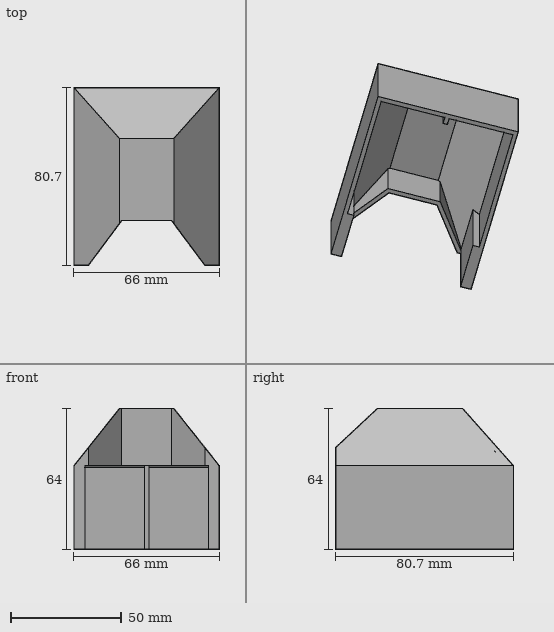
import math

import cadquery as cq

width = 66.0
depth = 80.69
height = 64.0
half_width = width / 2

eaves_height = 38.0
roof_half_width = 12.35
roof_back_y = 57.6
wall = 2.0

notch_front_half_width = 26.4
notch_back_half_width = 11.3
notch_depth = 20.3

jamb_thickness = 5.0
jamb_depth = 21.2

rib_width = 2.0
rib_depth = 3.0

roof_rise = height - eaves_height
side_run = half_width - roof_half_width
back_run = depth - roof_back_y
overshoot = 10.0


def eaves_drop(inset, run):
    """Drop of the eaves line when a wall and the slope above it both move in by the inset."""
    return inset * math.tan(math.atan2(run, roof_rise) / 2)


def hood(inset, front_y):
    """Hipped solid whose walls, slopes and top lie the given inset inside the outer surface."""
    side_x = half_width - inset
    back_y = depth - inset
    top_z = height - inset
    side_eaves = eaves_height - eaves_drop(inset, side_run)
    back_eaves = eaves_height - eaves_drop(inset, back_run)
    top_half_width = side_x - (top_z - side_eaves) * side_run / roof_rise
    top_back_y = back_y - (top_z - back_eaves) * back_run / roof_rise
    cross_section = (
        cq.Workplane("XZ", origin=(0, front_y, 0))
        .polyline([
            (-side_x, 0),
            (side_x, 0),
            (side_x, side_eaves),
            (top_half_width, top_z),
            (-top_half_width, top_z),
            (-side_x, side_eaves),
        ])
        .close()
        .extrude(front_y - back_y)
    )
    side_profile = (
        cq.Workplane("YZ")
        .polyline([
            (front_y, 0),
            (back_y, 0),
            (back_y, back_eaves),
            (top_back_y, top_z),
            (front_y, top_z),
        ])
        .close()
        .extrude(half_width, both=True)
    )
    return cross_section.intersect(side_profile)


def notch(offset):
    """Upright trapezoidal prism above the eaves, its back and sides moved out by the offset."""
    taper = (notch_front_half_width - notch_back_half_width) / notch_depth
    side_shift = offset * math.hypot(1, taper)
    back_y = notch_depth + offset
    front_half = notch_front_half_width + side_shift + taper * overshoot
    back_half = notch_front_half_width + side_shift - taper * back_y
    return (
        cq.Workplane("XY", origin=(0, 0, eaves_height))
        .polyline([
            (-front_half, -overshoot),
            (front_half, -overshoot),
            (back_half, back_y),
            (-back_half, back_y),
        ])
        .close()
        .extrude(roof_rise + overshoot)
    )


def jambs(envelope):
    """Pads that thicken both side walls at the front, up to the underside of the slopes."""
    inner_half_width = half_width - jamb_thickness
    front_block = cq.Workplane("XY").box(width, jamb_depth, height, centered=(True, False, False))
    passage = cq.Workplane("XY").box(
        2 * inner_half_width, jamb_depth, height, centered=(True, False, False)
    )
    return front_block.cut(passage).intersect(envelope)


def back_rib(envelope):
    """Rib standing on the inside of the back wall, up to the underside of the slope."""
    rib_front_y = depth - wall - rib_depth
    return (
        cq.Workplane("XY", origin=(0, rib_front_y, 0))
        .box(rib_width, rib_depth + wall, height, centered=(True, False, False))
        .intersect(envelope)
    )


outer = hood(inset=0, front_y=0)
shell = outer.cut(hood(inset=wall, front_y=-overshoot))
notch_walls = notch(wall).intersect(outer)

result = (
    shell.union(notch_walls)
    .union(jambs(outer))
    .union(back_rib(outer))
    .cut(notch(0))
    .clean()
)